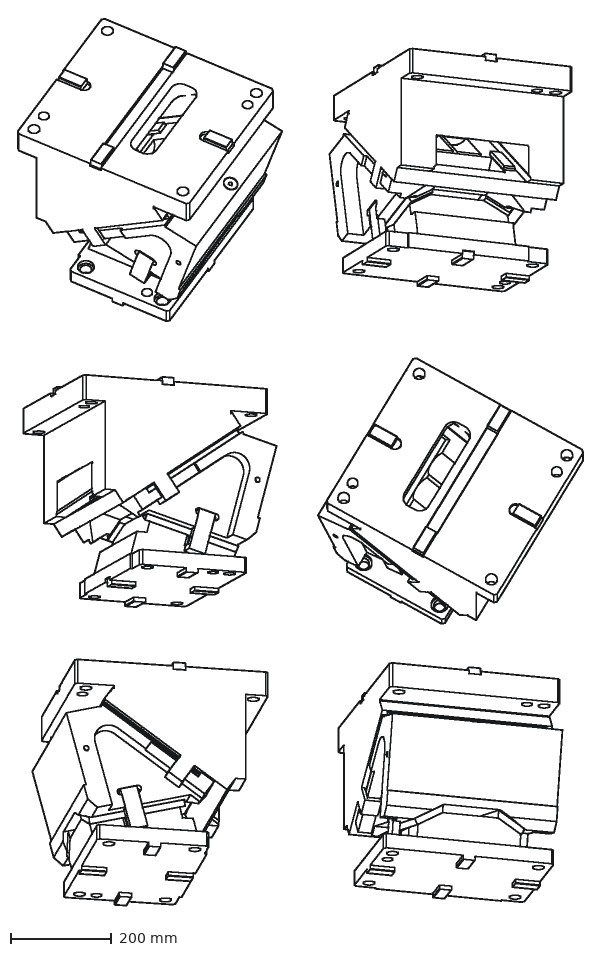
import cadquery as cq
import math


WIDTH = 350.0
HALF = WIDTH / 2
CORNER_CHAMFER = 5.0
KEY_WIDTH = 25.0
KEY_LENGTH = 50.5
KEY_STAND = 8.5
KEYWAY_DEPTH = 7.0
KEY_CHAMFER = 1.2
BOLT_DIA = 23.0
DOWEL_DIA = 21.0

HOLDER_SLOPE = 35
HOLDER_ORIGIN = (83.5, 130.8)
DRIVER_SLOPE = -15
DRIVER_ORIGIN = (348.0, 74.5)
TAIL = 2.5

HOLDER_LENGTH = 390.5
HOLDER_TOP = 384.5
HOLDER_PLATE = 50.3
BODY_LEFT = 45.5
HOLDER_SLOPE_LENGTH = 303.5
END_FACE_HEIGHT = 32.3
RELIEF_X = 311.5
RELIEF_DEPTH = 5.7
TOE_HEIGHT = 30.2
CROSS_KEYWAY_X = 179.5
END_KEY_INSET = 5.0
CROSS_KEY_INSET = 3.0
LEFT_KEYWAY_END = 68.5
RIGHT_KEYWAY_END = 320.8
BOLT_X = (25.5, 364.0)
BOLT_Y = 149.5
HOLDER_DOWELS = [(25.5, -109.5), (364.0, 114.0)]

CHANNEL_HALF = 99.5
CHANNEL_ROOF = 99.3
CHANNEL_END = 280.0
CHANNEL_ROOF_CHAMFER = 2.0
FLARE = 5.0
FLARE_TOP = 50.0
SLOT_X = (209.5, 264.8)
SLOT_CORNER = 20.0
WINDOW_S = (48.0, 129.5)
WINDOW_HALF = 74.5
STRIP_S = (62.0, 147.0)
STRIP_HEIGHT = 7.8
STRIP_BEVEL = 3.3
STRIP_INNER_Y = 76.0
GROOVE_RADIUS = 28.0
GROOVE_Y = 30.0
GROOVE_START = 143.0
GROOVE_RISE = 11.0
RECESS_START = 233.7
RECESS_HALF = 87.0
RECESS_DEPTH = 17.0

PAD_HEIGHT = 12.0
PAD_HALF = 155.3
LEDGE_HEIGHT = 2.5
LEDGE_HALF = 163.5
CLAMP_S = (80.0, 115.0)
CLAMP_DEPTH = 43.7

FLANGE_START = 30.2
FLANGE_END = 177.5
FLANGE_HALF = 168.5
FLANGE_BOTTOM = 33.0
STEP_S = 62.0
CORE_HALF = 141.0
NOSE_DEPTH = 41.5
SLIDER_TOP_END = 301.0
SLIDER_HEIGHT = 204.7
SLIDER_TOP_FRONT = -64.5
SLIDER_BACK = 7.8
HEEL_BACK = 12.3
HEEL_TOP = 51.0
HEEL_BOTTOM = 21.0
TAIL_HEIGHT = 6.5
UNDERSIDE_BACK = -2.5
UNDERSIDE_FRONT = -204.5
SIDE_RECESS_END = -33.5
SIDE_RECESS_RADIUS = 30.2
SIDE_HOLE = (-12.5, 125.0)
SIDE_HOLE_DIA = 10.0
SIDE_HOLE_DEPTH = 20.5
LIFT_HOLE_S = -12.3
LIFT_HOLE_DIA = 7.5
LIFT_HOLE_DEPTH = 20.5
LIFT_SEAT_DIA = 28.0
LIFT_SEAT_DEPTH = 1.5

ROOF_ANGLE = 30
ROOF_FLAT_HALF = 57.0
CAVITY_HALF = 115.2
LINER_START = -197.5
NOSE_CLEARANCE = 5.7
LINER_OUTER_Y = 113.5

HOOK_S = (-103.0, -68.2)
HOOK_TOP = 39.5
HOOK_BOTTOM = -45.8
HOOK_TOE_TOP = -33.0
HOOK_OUTER_Y = 139.0
HOOK_LEG_Y = 124.2
HOOK_TOE_Y = 109.5
HOOK_SLOT_S = (-110.0, -60.5)
HOOK_SLOT_RADIUS = 6.5

BASE_LEFT = 115.2
BASE_RIGHT = 345.5
BASE_SETBACK = 4.5
BASE_TONGUE_HALF = 129.5
BASE_BOTTOM = KEY_STAND
BASE_TOP = 39.0
BASE_KEY_X = 229.5
BASE_BOLT_X = (144.0, 318.0)
BASE_DOWEL = (283.0, -150.5)
BASE_BOLT_Y = 150.5
COUNTERBORE_DIA = 32.5
COUNTERBORE_DEPTH = 8.0

DRIVER_HALF = 106.0
EAVE = -10.2
DRIVER_FRONT = -186.5
DRIVER_STEP_FRONT = -206.8
DRIVER_STEP_TOP = 90.5
LUG_MARGIN = 1.2
LUG_HALF = 121.5

ROOF_SLOPE = math.tan(math.radians(ROOF_ANGLE))
RIDGE = EAVE + (DRIVER_HALF - ROOF_FLAT_HALF) * ROOF_SLOPE


def slope_point(origin, angle, s, n):
    """X and Z of a point given along and above a slope."""
    a = math.radians(angle)
    x = origin[0] + s * math.cos(a) - n * math.sin(a)
    z = origin[1] + s * math.sin(a) + n * math.cos(a)
    return x, z


def on_holder(s, n):
    return slope_point(HOLDER_ORIGIN, HOLDER_SLOPE, s, n)


def on_driver(s, n):
    return slope_point(DRIVER_ORIGIN, DRIVER_SLOPE, s, n)


def driver_n(s, z):
    """Height above the driver's slope of a point at s and Z."""
    a = math.radians(DRIVER_SLOPE)
    return (z - DRIVER_ORIGIN[1] - s * math.sin(a)) / math.cos(a)


def side_frame(origin, angle):
    """Workplane with local axes s, n and -Y."""
    a = math.radians(angle)
    plane = cq.Plane((origin[0], 0, origin[1]), (math.cos(a), 0, math.sin(a)), (0, -1, 0))
    return cq.Workplane(plane)


def section_frame(origin, angle, s):
    """Workplane across the slope at s, with local axes Y, n and s."""
    a = math.radians(angle)
    x, z = slope_point(origin, angle, s, 0)
    return cq.Workplane(cq.Plane((x, 0, z), (0, 1, 0), (math.cos(a), 0, math.sin(a))))


def holder_frame():
    return side_frame(HOLDER_ORIGIN, HOLDER_SLOPE)


def driver_frame():
    return side_frame(DRIVER_ORIGIN, DRIVER_SLOPE)


def holder_section(s):
    return section_frame(HOLDER_ORIGIN, HOLDER_SLOPE, s)


def driver_section(s):
    return section_frame(DRIVER_ORIGIN, DRIVER_SLOPE, s)


def bar(frame, s_range, n_range, y_range):
    """Block on the -Y side of a sloping frame."""
    size = [high - low for low, high in (s_range, n_range, y_range)]
    start = (s_range[0], n_range[0], y_range[0])
    return frame.transformed(offset=start).box(*size, centered=False)


def middle_bar(frame, s_range, n_range, half):
    return bar(frame, s_range, n_range, (-half, half))


def both_sides(solid):
    return solid.union(solid.mirror("XZ"))


def prism(points, half):
    """Extrude an X-Z outline to both sides of the mid-plane."""
    return cq.Workplane("XZ").polyline(points).close().extrude(half, both=True)


def block(x_range, y_range, z_range):
    size = [high - low for low, high in (x_range, y_range, z_range)]
    return cq.Workplane().box(*size, centered=False).translate((x_range[0], y_range[0], z_range[0]))


def key(x_range, y_range, z_range, lengthwise, outer_face):
    """Rectangular key with its two long outer edges chamfered."""
    edges = "|X" if lengthwise else "|Y"
    return block(x_range, y_range, z_range).faces(outer_face).edges(edges).chamfer(KEY_CHAMFER)


def key_set(x_ends, cross_x, side, z_range, outer_face):
    """Two lengthwise keys at the plate ends and two crosswise keys at the plate sides."""
    half = KEY_WIDTH / 2
    left, right = x_ends
    keys = cq.Workplane()
    for x_range in [(left, left + KEY_LENGTH), (right - KEY_LENGTH, right)]:
        keys = keys.add(key(x_range, (-half, half), z_range, True, outer_face))
    for y_range in [(-side, KEY_LENGTH - side), (side - KEY_LENGTH, side)]:
        keys = keys.add(key((cross_x - half, cross_x + half), y_range, z_range, False, outer_face))
    return keys.combine()


def keyway(tip_x, open_x, z_range):
    """Keyway that is rounded at its tip and runs out at open_x."""
    radius = KEY_WIDTH / 2
    centre = tip_x + math.copysign(radius, open_x - tip_x)
    x_range = sorted((centre, open_x))
    straight = block(x_range, (-radius, radius), z_range)
    height = z_range[1] - z_range[0]
    tip = cq.Workplane().workplane(offset=z_range[0]).center(centre, 0).circle(radius).extrude(height)
    return straight.union(tip)


def holder_blank():
    plate_bottom = HOLDER_TOP - HOLDER_PLATE
    plate = block((0, HOLDER_LENGTH), (-HALF, HALF), (plate_bottom, HOLDER_TOP))
    plate = plate.edges("|Z").chamfer(CORNER_CHAMFER)
    toe_corner = on_holder(0, TOE_HEIGHT)
    outline = [
        (BODY_LEFT, plate_bottom),
        (BODY_LEFT, toe_corner[1]),
        toe_corner,
        on_holder(0, 0),
        on_holder(HOLDER_SLOPE_LENGTH, 0),
        on_holder(HOLDER_SLOPE_LENGTH, END_FACE_HEIGHT),
        (RELIEF_X, plate_bottom - RELIEF_DEPTH),
        (RELIEF_X, plate_bottom),
    ]
    return plate.union(prism(outline, HALF))


def holder_channel():
    """Sloping tunnel, flared near its floor and chamfered at its roof."""
    wide = CHANNEL_HALF + FLARE
    narrow = CHANNEL_HALF - CHANNEL_ROOF_CHAMFER
    outline = [
        (wide, TOE_HEIGHT),
        (wide, FLARE_TOP - FLARE),
        (CHANNEL_HALF, FLARE_TOP),
        (CHANNEL_HALF, CHANNEL_ROOF - CHANNEL_ROOF_CHAMFER),
        (narrow, CHANNEL_ROOF),
    ]
    outline += [(-y, n) for y, n in reversed(outline)]
    start = -BODY_LEFT - FLARE_TOP
    return holder_section(start).polyline(outline).close().extrude(CHANNEL_END - start)


def top_slot():
    """Rounded opening from the top face down to the channel floor."""
    below_floor = on_holder(WINDOW_S[1], 0)[1]
    opening = block(SLOT_X, (-CHANNEL_HALF, CHANNEL_HALF), (below_floor, HOLDER_TOP))
    opening = opening.edges("|Z").fillet(SLOT_CORNER)
    above_floor = middle_bar(holder_frame(), (0, 2 * CHANNEL_END), (TOE_HEIGHT, HOLDER_TOP), WIDTH)
    return opening.intersect(above_floor)


def floor_strips():
    """Raised strips beside the floor window, bevelled at their lower ends."""
    strip = bar(
        holder_frame(),
        STRIP_S,
        (TOE_HEIGHT, TOE_HEIGHT + STRIP_HEIGHT),
        (STRIP_INNER_Y, CHANNEL_HALF),
    )
    lower_edge = holder_frame().transformed(offset=(STRIP_S[0], TOE_HEIGHT + STRIP_HEIGHT, 0))
    middle_y = -(STRIP_INNER_Y + CHANNEL_HALF) / 2
    x, _, z = lower_edge.plane.origin.toTuple()
    strip = strip.edges(cq.selectors.NearestToPointSelector((x, middle_y, z))).chamfer(STRIP_BEVEL)
    return both_sides(strip)


def spring_grooves():
    length = CHANNEL_END - GROOVE_START
    centres = [(-GROOVE_Y, TOE_HEIGHT + GROOVE_RISE), (GROOVE_Y, TOE_HEIGHT + GROOVE_RISE)]
    return holder_section(GROOVE_START).pushPoints(centres).circle(GROOVE_RADIUS).extrude(length)


def holder_clamps():
    """L-shaped clamps that reach under the slider's flanges."""
    leg = bar(holder_frame(), CLAMP_S, (-CLAMP_DEPTH, 0), (FLANGE_HALF, HALF))
    toe = bar(holder_frame(), CLAMP_S, (-CLAMP_DEPTH, -FLANGE_BOTTOM), (CORE_HALF, HALF))
    return both_sides(leg.union(toe))


def plate_holes(points, diameter, z_range):
    depth = z_range[1] - z_range[0]
    bottom = cq.Workplane().workplane(offset=z_range[0])
    return bottom.pushPoints(points).circle(diameter / 2).extrude(depth)


def make_holder():
    body = holder_blank()
    pad = middle_bar(holder_frame(), (STEP_S, SLIDER_TOP_END), (-PAD_HEIGHT, 0), PAD_HALF)
    ledge = middle_bar(holder_frame(), (STEP_S, SLIDER_TOP_END), (-LEDGE_HEIGHT, 0), LEDGE_HALF)
    body = body.union(pad).union(ledge).union(holder_clamps())

    body = body.cut(holder_channel()).cut(top_slot())
    body = body.union(floor_strips())
    body = body.cut(middle_bar(holder_frame(), WINDOW_S, (-PAD_HEIGHT, TOE_HEIGHT), WINDOW_HALF))
    recess_n = (TOE_HEIGHT - RECESS_DEPTH, TOE_HEIGHT)
    body = body.cut(middle_bar(holder_frame(), (RECESS_START, CHANNEL_END), recess_n, RECESS_HALF))
    body = body.cut(spring_grooves())

    plate_z = (HOLDER_TOP - HOLDER_PLATE, HOLDER_TOP)
    bolts = [(x, y) for x in BOLT_X for y in (-BOLT_Y, BOLT_Y)]
    body = body.cut(plate_holes(bolts, BOLT_DIA, plate_z))
    body = body.cut(plate_holes(HOLDER_DOWELS, DOWEL_DIA, plate_z))

    keyway_z = (HOLDER_TOP - KEYWAY_DEPTH, HOLDER_TOP)
    cross_x = (CROSS_KEYWAY_X - KEY_WIDTH / 2, CROSS_KEYWAY_X + KEY_WIDTH / 2)
    body = body.cut(block(cross_x, (-HALF, HALF), keyway_z))
    body = body.cut(keyway(LEFT_KEYWAY_END, 0, keyway_z))
    body = body.cut(keyway(RIGHT_KEYWAY_END, HOLDER_LENGTH, keyway_z))
    key_ends = (END_KEY_INSET, HOLDER_LENGTH - END_KEY_INSET)
    key_z = (HOLDER_TOP - KEYWAY_DEPTH, HOLDER_TOP + KEY_STAND)
    return body.union(key_set(key_ends, CROSS_KEYWAY_X, HALF - CROSS_KEY_INSET, key_z, ">Z"))


def slider_blank():
    outline = [
        on_holder(FLANGE_START, -NOSE_DEPTH),
        on_holder(FLANGE_START, 0),
        on_holder(STEP_S, 0),
        on_holder(STEP_S, -PAD_HEIGHT),
        on_holder(SLIDER_TOP_END, -PAD_HEIGHT),
        on_driver(SLIDER_TOP_FRONT, SLIDER_HEIGHT),
        on_driver(SLIDER_BACK, SLIDER_HEIGHT),
        on_driver(SLIDER_BACK, HEEL_TOP),
        on_driver(HEEL_BACK, HEEL_TOP),
        on_driver(HEEL_BACK, HEEL_BOTTOM),
        on_driver(TAIL, TAIL_HEIGHT),
        on_driver(UNDERSIDE_BACK, 0),
        on_driver(UNDERSIDE_FRONT, 0),
    ]
    return prism(outline, HALF)


def side_recess():
    """Pocket below the flange on each side, ending at a wall across the driver's slope."""
    reach = WIDTH
    flange_angle = math.radians(HOLDER_SLOPE)
    drive_angle = math.radians(DRIVER_SLOPE)
    flange_x, flange_z = on_holder(0, -FLANGE_BOTTOM)
    wall_x, wall_z = on_driver(SIDE_RECESS_END, 0)
    gap = (wall_x - flange_x) * math.cos(drive_angle) + (wall_z - flange_z) * math.sin(drive_angle)
    corner_s = gap / math.cos(flange_angle - drive_angle)
    outline = [
        on_holder(corner_s, -FLANGE_BOTTOM),
        on_holder(corner_s - reach, -FLANGE_BOTTOM),
        on_holder(corner_s - reach, -reach),
        on_driver(SIDE_RECESS_END, -reach),
    ]
    side = cq.Workplane("XZ").workplane(offset=CORE_HALF)
    pocket = side.polyline(outline).close().extrude(HALF - CORE_HALF)
    x, z = outline[0]
    corner = cq.selectors.NearestToPointSelector((x, -(CORE_HALF + HALF) / 2, z))
    return both_sides(pocket.edges(corner).fillet(SIDE_RECESS_RADIUS))


def roof_cavity():
    """Underside hollow that holds the liners, and the lower clearance ahead of them in the nose."""
    below = -2 * NOSE_DEPTH
    ridge = (CAVITY_HALF - ROOF_FLAT_HALF) * ROOF_SLOPE
    pocket = [(CAVITY_HALF, below), (CAVITY_HALF, 0), (ROOF_FLAT_HALF, ridge)]
    pocket += [(-y, n) for y, n in reversed(pocket)]
    cavity = driver_section(LINER_START).polyline(pocket).close().extrude(-2 * LINER_START)

    nose_ridge = RIDGE + NOSE_CLEARANCE
    nose_half = ROOF_FLAT_HALF + (nose_ridge - below) / ROOF_SLOPE
    nose = [(nose_half, below), (ROOF_FLAT_HALF, nose_ridge)]
    nose += [(-y, n) for y, n in reversed(nose)]
    return cavity.union(driver_section(2 * LINER_START).polyline(nose).close().extrude(-LINER_START))


def roof_liner():
    """Wear liners that fill the space between the cavity and the driver's roof."""
    ridge = (CAVITY_HALF - ROOF_FLAT_HALF) * ROOF_SLOPE
    top_edge = (CAVITY_HALF - LINER_OUTER_Y) * ROOF_SLOPE
    tilt = math.radians(ROOF_ANGLE)
    thickness = (ridge - RIDGE) * math.cos(tilt)
    lean = thickness * math.sin(tilt)
    drop = thickness * math.cos(tilt)
    outline = [
        (LINER_OUTER_Y, top_edge),
        (LINER_OUTER_Y - lean, top_edge - drop),
        (ROOF_FLAT_HALF, RIDGE),
        (ROOF_FLAT_HALF, ridge),
    ]
    liner = driver_section(LINER_START).polyline(outline).close().extrude(TAIL - LINER_START)
    return both_sides(liner)


def hook_seats():
    """Round-ended slot and shallow channel in the slider's side for each hook."""
    length = HOOK_SLOT_S[1] - HOOK_SLOT_S[0]
    centre = (sum(HOOK_SLOT_S) / 2, HOOK_TOP - HOOK_SLOT_RADIUS)
    frame = driver_frame().workplane(offset=HOOK_LEG_Y)
    slot = frame.center(*centre).slot2D(length, 2 * HOOK_SLOT_RADIUS).extrude(CORE_HALF - HOOK_LEG_Y)
    channel = bar(driver_frame(), HOOK_S, (0, HOOK_TOP), (HOOK_OUTER_Y, CORE_HALF))
    return both_sides(slot.union(channel))


def hooks():
    """L-shaped hooks that reach under the driver's lugs."""
    leg = bar(driver_frame(), HOOK_S, (HOOK_BOTTOM, HOOK_TOP), (HOOK_LEG_Y, HOOK_OUTER_Y))
    toe = bar(driver_frame(), HOOK_S, (HOOK_BOTTOM, HOOK_TOE_TOP), (HOOK_TOE_Y, HOOK_OUTER_Y))
    return both_sides(leg.union(toe))


def side_holes():
    frame = driver_frame().workplane(offset=HALF - SIDE_HOLE_DEPTH)
    return both_sides(frame.center(*SIDE_HOLE).circle(SIDE_HOLE_DIA / 2).extrude(SIDE_HOLE_DEPTH))


def lifting_hole():
    a = math.radians(DRIVER_SLOPE)
    x, z = on_driver(LIFT_HOLE_S, SLIDER_HEIGHT)
    face = cq.Workplane(cq.Plane((x, 0, z), (math.cos(a), 0, math.sin(a)), (-math.sin(a), 0, math.cos(a))))
    hole = face.circle(LIFT_HOLE_DIA / 2).extrude(-LIFT_HOLE_DEPTH)
    return hole.union(face.circle(LIFT_SEAT_DIA / 2).extrude(-LIFT_SEAT_DEPTH))


def make_slider():
    body = slider_blank().cut(side_recess())
    flange_trim = bar(holder_frame(), (0, FLANGE_END), (-FLANGE_BOTTOM, PAD_HEIGHT), (FLANGE_HALF, HALF))
    body = body.cut(both_sides(flange_trim))
    body = body.cut(roof_cavity()).union(roof_liner())
    body = body.cut(hook_seats()).union(hooks())
    return body.cut(side_holes()).cut(lifting_hole())


def driver_base():
    left = BASE_LEFT + BASE_SETBACK
    base_z = (BASE_BOTTOM, BASE_TOP)
    base = block((left, BASE_RIGHT), (-HALF, HALF), base_z).edges("|Z").chamfer(CORNER_CHAMFER)
    tongue = block((BASE_LEFT, left), (-BASE_TONGUE_HALF, BASE_TONGUE_HALF), base_z)
    base = base.union(tongue)

    bolts = [(x, y) for x in BASE_BOLT_X for y in (-BASE_BOLT_Y, BASE_BOLT_Y)]
    base = base.cut(plate_holes(bolts, BOLT_DIA, base_z))
    base = base.cut(plate_holes(bolts, COUNTERBORE_DIA, (BASE_TOP - COUNTERBORE_DEPTH, BASE_TOP)))
    base = base.cut(plate_holes([BASE_DOWEL], DOWEL_DIA, base_z))

    keyway_z = (BASE_BOTTOM, BASE_BOTTOM + KEYWAY_DEPTH)
    base = base.cut(block((BASE_LEFT, left), (-KEY_WIDTH / 2, KEY_WIDTH / 2), keyway_z))
    key_z = (0, BASE_BOTTOM + KEYWAY_DEPTH)
    return base.union(key_set((left, BASE_RIGHT), BASE_KEY_X, HALF, key_z, "<Z"))


def driver_block():
    """Block with a stepped front and a roof-shaped top; its foot is sunk in the base."""
    foot_z = (BASE_BOTTOM + BASE_TOP) / 2
    outline = [
        on_driver(DRIVER_STEP_FRONT, driver_n(DRIVER_STEP_FRONT, foot_z)),
        on_driver(DRIVER_STEP_FRONT, driver_n(DRIVER_STEP_FRONT, DRIVER_STEP_TOP)),
        on_driver(DRIVER_FRONT, driver_n(DRIVER_FRONT, DRIVER_STEP_TOP)),
        on_driver(DRIVER_FRONT, RIDGE),
        on_driver(TAIL, RIDGE),
        on_driver(TAIL, driver_n(TAIL, foot_z)),
    ]
    solid = prism(outline, DRIVER_HALF)
    eave_wedge = [(DRIVER_HALF, EAVE), (ROOF_FLAT_HALF, RIDGE), (DRIVER_HALF, RIDGE)]
    wedge = driver_section(DRIVER_FRONT).polyline(eave_wedge).close().extrude(TAIL - DRIVER_FRONT)
    return solid.cut(both_sides(wedge))


def driver_lugs():
    """Lugs beside the roof that the slider's hooks hold."""
    outline = [
        (DRIVER_HALF, EAVE),
        (LUG_HALF, EAVE - (LUG_HALF - DRIVER_HALF) * ROOF_SLOPE),
        (LUG_HALF, HOOK_TOE_TOP),
        (DRIVER_HALF, HOOK_TOE_TOP),
    ]
    start = HOOK_S[0] - LUG_MARGIN
    length = HOOK_S[1] - HOOK_S[0] + 2 * LUG_MARGIN
    return both_sides(driver_section(start).polyline(outline).close().extrude(length))


def make_driver():
    return driver_base().union(driver_block()).union(driver_lugs())


holder = make_holder()
slider = make_slider()
driver = make_driver()
result = cq.Compound.makeCompound([holder.val(), slider.val(), driver.val()])